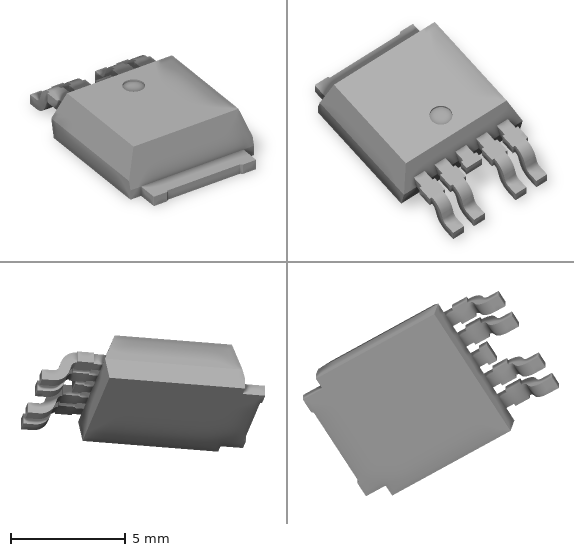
import cadquery as cq
import math


total_length = 9.9
body_width = 6.5
body_height = 2.32

parting_height = 0.91
body_front_bottom = 2.87
body_front_parting = 2.67
body_front_top = 3.19
body_back_top = 8.41
body_back = 8.9
body_top_width = 5.52

mark_diameter = 1.0
mark_depth = 0.1
mark_x = 4.3

metal_thickness = 0.49

tab_width = 5.39
tab_notch_depth = 0.09
tab_corner_chamfer = 0.02
tab_notch_width = 3.8

lead_pitch = 1.14
lead_width = 0.59
lead_wide_width = 0.84
lead_rise = 0.94
foot_length = 0.51
lead_wide_start = 1.54
lead_wide_end = 2.29
short_lead_start = 1.87
lead_embed_end = 3.465
inner_radius = 0.25
outer_radius = inner_radius + metal_thickness
formed_lead_positions = [step * lead_pitch for step in (-2, -1, 1, 2)]


def make_body():
    """Body with sloped faces: side profile crossed with end profile."""
    side_profile = [
        (body_front_bottom, 0),
        (body_front_parting, parting_height),
        (body_front_top, body_height),
        (body_back_top, body_height),
        (body_back, metal_thickness),
        (body_back, 0),
    ]
    end_profile = [
        (-body_width / 2, 0),
        (-body_width / 2, parting_height),
        (-body_top_width / 2, body_height),
        (body_top_width / 2, body_height),
        (body_width / 2, parting_height),
        (body_width / 2, 0),
    ]
    side = cq.Workplane("XZ").polyline(side_profile).close().extrude(body_width / 2, both=True)
    end = cq.Workplane("YZ").polyline(end_profile).close().extrude(total_length)
    return side.intersect(end)


def make_mark():
    """Shallow round recess in the top face."""
    mark_floor = cq.Workplane("XY").workplane(offset=body_height - mark_depth)
    return mark_floor.center(mark_x, 0).circle(mark_diameter / 2).extrude(mark_depth)


def make_tab():
    """Flat tab with trimmed corners and a shallow flared notch in its end; it starts inside the body."""
    notch_floor = total_length - tab_notch_depth
    notch_half = tab_notch_width / 2
    mouth_half = notch_half + tab_notch_depth
    side = tab_width / 2
    outline = [
        (body_back_top, -side),
        (total_length - tab_corner_chamfer, -side),
        (total_length, -side + tab_corner_chamfer),
        (total_length, -mouth_half),
        (notch_floor, -notch_half),
        (notch_floor, notch_half),
        (total_length, mouth_half),
        (total_length, side - tab_corner_chamfer),
        (total_length - tab_corner_chamfer, side),
        (body_back_top, side),
    ]
    return cq.Workplane("XY").polyline(outline).close().extrude(metal_thickness)


def make_flat_run(start, end, width, y):
    """Straight upper stretch of a lead."""
    box = cq.Workplane("XY").box(end - start, width, metal_thickness, centered=(False, True, False))
    return box.translate((start, y, lead_rise))


def make_lead_head(start, y):
    """Wide shoulder and the narrower neck that enters the body."""
    shoulder = make_flat_run(start, lead_wide_end, lead_wide_width, y)
    neck = make_flat_run(start, lead_embed_end, lead_width, y)
    return shoulder.union(neck)


def make_formed_end(y):
    """Foot and S-bend: two arcs joined by a straight ramp tangent to both."""
    lower_center = (foot_length, outer_radius)
    upper_center = (lead_wide_start, lead_rise - inner_radius)
    run = upper_center[0] - lower_center[0]
    climb = upper_center[1] - lower_center[1]
    radius_sum = inner_radius + outer_radius
    ramp_angle = math.atan2(climb, run) + math.asin(radius_sum / math.hypot(run, climb))

    def on_lower_bend(radius, angle):
        return (lower_center[0] + radius * math.sin(angle), lower_center[1] - radius * math.cos(angle))

    def on_upper_bend(radius, angle):
        return (upper_center[0] - radius * math.sin(angle), upper_center[1] + radius * math.cos(angle))

    half_angle = ramp_angle / 2
    profile = (
        cq.Workplane("XZ", origin=(0, y, 0))
        .moveTo(0, 0)
        .lineTo(foot_length, 0)
        .threePointArc(on_lower_bend(outer_radius, half_angle), on_lower_bend(outer_radius, ramp_angle))
        .lineTo(*on_upper_bend(inner_radius, ramp_angle))
        .threePointArc(on_upper_bend(inner_radius, half_angle), on_upper_bend(inner_radius, 0))
        .lineTo(*on_upper_bend(outer_radius, 0))
        .threePointArc(on_upper_bend(outer_radius, half_angle), on_upper_bend(outer_radius, ramp_angle))
        .lineTo(*on_lower_bend(inner_radius, ramp_angle))
        .threePointArc(on_lower_bend(inner_radius, half_angle), on_lower_bend(inner_radius, 0))
        .lineTo(0, metal_thickness)
        .close()
    )
    return profile.extrude(lead_width / 2, both=True)


result = make_body().cut(make_mark()).union(make_tab())
result = result.union(make_lead_head(short_lead_start, 0))
for lead_y in formed_lead_positions:
    result = result.union(make_lead_head(lead_wide_start, lead_y))
    result = result.union(make_formed_end(lead_y))